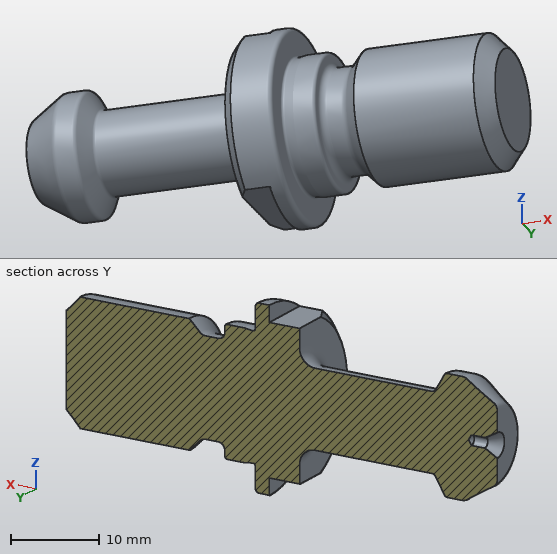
import cadquery as cq
import math

length = 57.15

head_radius = 7.5
head_face_radius = 4.75
head_land_start = 4.35
head_land_end = 6.9
head_back_angle = 60.0
head_face_round = 0.9
head_front_round = 1.05
head_back_round = 0.6
neck_radius = 9.95 / 2
neck_head_fillet = 0.4
neck_flange_fillet = 2.0

flange_radius = 22.9 / 2
flange_front = 26.2
flange_back = 32.1
flange_chamfer = 1.05
flange_back_round = 0.6
flat_height = 9.4
flat_end = 30.2

collar_radius = 16.3 / 2
collar_small_radius = 7.95
collar_root_fillet = 0.3
collar_taper_end = 33.55
collar_end = 36.2
collar_round = 0.4

undercut_radius = 12.5 / 2
undercut_collar_fillet = 0.8
undercut_shank_fillet = 1.0
shank_radius = 15.9 / 2
shank_start = 40.8
shank_chamfer_length = 1.9
shank_chamfer_height = 2.0

hole_radius = 1.2 / 2
hole_depth = 3.45
countersink_radius = 1.55
countersink_angle = 60.0
drill_tip_angle = 118.0


def cone_length(large_radius, small_radius, half_angle):
    """Axial length of a cone between two radii."""
    return (large_radius - small_radius) / math.tan(math.radians(half_angle))


def unit_direction(start, end):
    return (cq.Vector(*end) - cq.Vector(*start)).normalized()


def revolve_about_x(sketch):
    return sketch.close().revolve(360, (0, 0, 0), (1, 0, 0))


def turned_solid(corners):
    """Revolve (x, radius, rounding) corners, starting and ending on the axis.

    Each corner with a nonzero rounding is blended with a tangent arc.
    """
    sketch = cq.Workplane("XY").moveTo(*corners[0][:2])
    for index, (x, radius, rounding) in enumerate(corners[1:], start=1):
        if rounding == 0:
            sketch = sketch.lineTo(x, radius)
            continue
        corner = cq.Vector(x, radius)
        backward = unit_direction((x, radius), corners[index - 1][:2])
        forward = unit_direction((x, radius), corners[index + 1][:2])
        half_angle = backward.getAngle(forward) / 2
        setback = rounding / math.tan(half_angle)
        arc_start = corner + backward * setback
        arc_end = corner + forward * setback
        apex_distance = rounding / math.sin(half_angle) - rounding
        arc_middle = corner + (backward + forward).normalized() * apex_distance
        sketch = sketch.lineTo(arc_start.x, arc_start.y)
        sketch = sketch.threePointArc((arc_middle.x, arc_middle.y), (arc_end.x, arc_end.y))
    return revolve_about_x(sketch)


def stud_body():
    neck_start = head_land_end + cone_length(head_radius, neck_radius, head_back_angle)
    undercut_end = shank_start - (shank_radius - undercut_radius)
    corners = [
        (0, 0, 0),
        (0, head_face_radius, head_face_round),
        (head_land_start, head_radius, head_front_round),
        (head_land_end, head_radius, head_back_round),
        (neck_start, neck_radius, neck_head_fillet),
        (flange_front, neck_radius, neck_flange_fillet),
        (flange_front, flange_radius - flange_chamfer, 0),
        (flange_front + flange_chamfer, flange_radius, 0),
        (flange_back, flange_radius, flange_back_round),
        (flange_back, collar_small_radius, collar_root_fillet),
        (collar_taper_end, collar_radius, 0),
        (collar_end, collar_radius, collar_round),
        (collar_end, undercut_radius, undercut_collar_fillet),
        (undercut_end, undercut_radius, undercut_shank_fillet),
        (shank_start, shank_radius, 0),
        (length - shank_chamfer_length, shank_radius, 0),
        (length, shank_radius - shank_chamfer_height, 0),
        (length, 0, 0),
    ]
    return turned_solid(corners)


def wrench_flat_cutter(side):
    """Block removing the flange beyond the flat on the +Z or -Z side."""
    cut_length = flat_end - flange_front
    cut_height = flange_radius - flat_height
    block = cq.Workplane("XY").box(cut_length, 2 * flange_radius, cut_height)
    centre_x = (flange_front + flat_end) / 2
    centre_z = side * (flange_radius + flat_height) / 2
    return block.translate((centre_x, 0, centre_z))


def centre_hole():
    countersink_depth = cone_length(countersink_radius, hole_radius, countersink_angle / 2)
    tip_length = cone_length(hole_radius, 0, drill_tip_angle / 2)
    sketch = (
        cq.Workplane("XY")
        .lineTo(0, countersink_radius)
        .lineTo(countersink_depth, hole_radius)
        .lineTo(hole_depth, hole_radius)
        .lineTo(hole_depth + tip_length, 0)
    )
    return revolve_about_x(sketch)


result = stud_body()
for side in (1, -1):
    result = result.cut(wrench_flat_cutter(side))
result = result.cut(centre_hole())